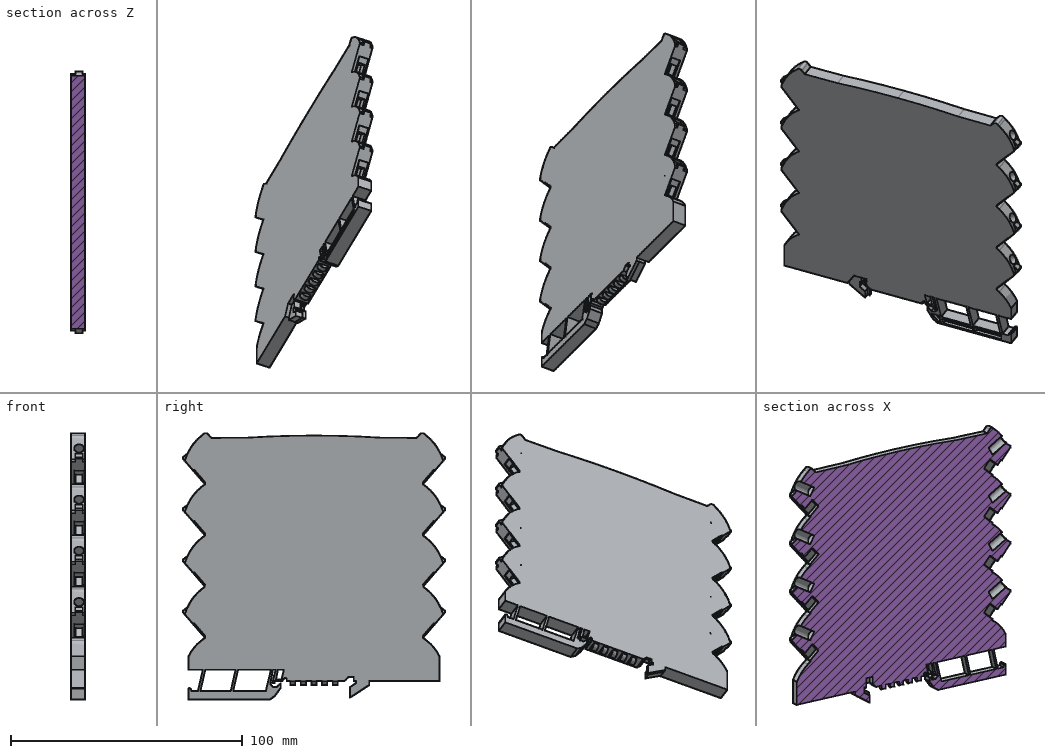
import cadquery as cq
import math

thickness = 6.1
half_thickness = thickness / 2
total_height = 115.0
total_width = 113.0

tooth_pitch = 22.1
tooth_count = 4
lowest_root_z = 26.7
root_y = 47.0
nose_y = 55.4
base_y = 54.2
base_shoulder_z = 18.6
base_flank_y = 51.9
base_flank_z = 22.3

ear_outer_y = 47.6
ear_outer_z = 114.7
ear_tip_y = 46.7
ear_inner_y = 45.8
ear_inner_z = 114.5
shoulder_y = 44.3
shoulder_z = 112.9
crown_z = 114.0
crown_y = 28.8
crown_edge_z = 113.0
bow_middle_z = 113.7

rail_face_z = 7.9
arm_face_z = 12.9

flank_start = (48.4, -1.0)
flank_middle = (52.8, -5.8)
nose_top = (nose_y, -11.3)
nose_bottom = (nose_y, -12.4)

tooth_roots = [lowest_root_z + tooth_pitch * (i + 1) for i in range(tooth_count)]


def in_tooth(point, root_z, side=1):
    return (side * point[0], root_z + point[1])


def prism(outline, x_start=-half_thickness, x_end=half_thickness):
    """Closed outline of (y, z) points extruded between two X planes."""
    return (
        cq.Workplane("YZ")
        .workplane(offset=x_start)
        .polyline(outline)
        .close()
        .extrude(x_end - x_start)
    )


def half_housing(side, bottom_z):
    """Half of the plate between the middle plane and one toothed edge."""
    edge = cq.Workplane("YZ").workplane(offset=-half_thickness)
    edge = edge.moveTo(0, bottom_z).lineTo(side * base_y, bottom_z)
    edge = edge.lineTo(side * base_y, base_shoulder_z)
    edge = edge.threePointArc(
        (side * base_flank_y, base_flank_z), in_tooth(flank_start, lowest_root_z, side)
    )
    edge = edge.lineTo(side * root_y, lowest_root_z)
    for root_z in tooth_roots:
        edge = edge.lineTo(*in_tooth(nose_bottom, root_z, side))
        edge = edge.lineTo(*in_tooth(nose_top, root_z, side))
        edge = edge.threePointArc(
            in_tooth(flank_middle, root_z, side), in_tooth(flank_start, root_z, side)
        )
        if root_z != tooth_roots[-1]:
            edge = edge.lineTo(side * root_y, root_z)
    edge = edge.lineTo(side * ear_outer_y, ear_outer_z)
    edge = edge.threePointArc((side * ear_tip_y, total_height), (side * ear_inner_y, ear_inner_z))
    edge = edge.lineTo(side * shoulder_y, shoulder_z)
    edge = edge.lineTo(side * crown_y, crown_edge_z)
    edge = edge.threePointArc((side * crown_y / 2, bow_middle_z), (0, crown_z))
    return edge.close().extrude(thickness)


cutter_overrun = 1.7
screw_x = 0.5
screw_radius = 2.1
screw_tilt = 30
screw_depth = 8.0
screw_mouth = (53.2, -6.7)

lip_x = (-1.2, 2.0)
lip_tip_y = total_width / 2
underside_slope = (nose_bottom[1] + tooth_pitch) / (nose_y - root_y)
lip_bottom_tip = (lip_tip_y, nose_bottom[1] + (lip_tip_y - nose_y) * underside_slope)
lip_outline = [(54.0, -8.5), (lip_tip_y, -10.4), lip_bottom_tip, nose_bottom, (52.9, -11.5)]

entry_x = (-1.6, 2.6)
entry_depth = 0.6
entry_span = (-16.2, -21.7)
clamp_x = (-1.0, 1.8)
clamp_depth = 5.8
clamp_span = (-18.3, entry_span[1])


def underside_point(height, depth=0.0):
    """Point at a height on the tooth underside, sunk squarely into the tooth."""
    angle = math.atan(underside_slope)
    y = root_y + (height + tooth_pitch) / underside_slope
    return (y - depth * math.sin(angle), height + depth * math.cos(angle))


def underside_pocket(x_range, span, depth, root_z, side):
    corners = [
        underside_point(span[0], -cutter_overrun),
        underside_point(span[1], -cutter_overrun),
        underside_point(span[1], depth),
        underside_point(span[0], depth),
    ]
    return prism([in_tooth(p, root_z, side) for p in corners], *x_range)


def screw_hole(root_z, side):
    y, z = in_tooth(screw_mouth, root_z, side)
    tilt = math.radians(screw_tilt)
    outward = cq.Vector(0, side * math.cos(tilt), math.sin(tilt))
    start = cq.Vector(screw_x, y, z) + outward * cutter_overrun
    length = screw_depth + cutter_overrun
    return cq.Workplane(cq.Solid.makeCylinder(screw_radius, length, start, outward * -1))


def add_terminal(body, root_z, side):
    lip = prism([in_tooth(p, root_z, side) for p in lip_outline], *lip_x)
    body = body.union(lip).cut(screw_hole(root_z, side))
    body = body.cut(underside_pocket(entry_x, entry_span, entry_depth, root_z, side))
    return body.cut(underside_pocket(clamp_x, clamp_span, clamp_depth, root_z, side))


latch_front_x = -1.3
latch_rim_x = 1.6
latch_pocket_floor_x = 2.2
latch_pocket = [
    (23.9, rail_face_z), (20.7, arm_face_z), (14.8, arm_face_z), (14.8, 9.7), (13.1, rail_face_z),
]
latch_gap = [(17.1, 6.9), (17.1, 9.7), (14.8, 9.7), (13.1, rail_face_z), (13.1, 6.9)]
latch_core = [
    (23.9, 6.3), (23.9, rail_face_z), (20.7, arm_face_z), (18.0, arm_face_z), (18.0, 8.9),
    (19.0, 8.9), (19.0, 6.4), (16.3, 4.7), (16.3, 1.4),
]
latch_rim = [
    (23.9, 6.3), (23.9, rail_face_z), (20.7, arm_face_z), (17.1, arm_face_z), (17.1, rail_face_z),
    (18.0, rail_face_z), (18.0, 7.1), (15.5, 5.4), (15.5, 0.8),
]


def add_latch(body):
    body = body.cut(prism(latch_gap))
    body = body.cut(prism(latch_pocket, -half_thickness, latch_pocket_floor_x))
    body = body.union(prism(latch_core, latch_front_x))
    return body.union(prism(latch_rim, latch_rim_x))


contact_pitch = 4.6
contact_first_y = 9.2
contact_width = 2.3
contact_count = 5
contact_radius = 2.2
contact_axis_z = 8.4


def add_contacts(body):
    """Round contacts that bulge out of the underside, with their axes along Y."""
    for i in range(contact_count):
        middle_y = contact_first_y - i * contact_pitch
        contact = (
            cq.Workplane("XZ")
            .center(0, contact_axis_z)
            .circle(contact_radius)
            .extrude(contact_width / 2, both=True)
        )
        body = body.union(contact.translate((0, middle_y, 0)))
    return body


arm_top_z = 3.8
arm_recess_depth = 1.7

rail_block = [
    (0, rail_face_z), (-11.8, rail_face_z), (-11.8, 9.0), (-12.5, 9.5), (-13.7, 7.9), (-17.0, 7.9),
    (-17.0, 7.0), (-18.0, 7.0), (-16.6, 13.0), (-15.5, 13.0), (-16.3, 8.7), (-14.0, 8.9),
    (-13.0, arm_face_z), (0, arm_face_z),
]
arm_outline = [
    (-18.9, 6.7), (-17.6, 5.5), (-16.1, 5.5), (-14.3, 7.1), (-14.3, 5.2), (-16.9, 1.5), (-19.1, 0),
    (-base_y, 0), (-base_y, 4.7), (-53.7, 5.1), (-53.1, 4.7), (-52.8, arm_top_z),
    (-20.8, arm_top_z), (-18.5, 13.2), (-17.6, 13.2),
]
strut_tops = (-32.7, -46.8)
strut_width = 1.2
strut_lean = 2.2
strut_overlap = 0.2
recess_floor_z = 0.8
recess_ceiling_z = 3.0
arm_recesses = [
    [(-16.2, 4.1), (-19.9, 4.1), (-20.6, 0.8), (-19.7, 0.8)],
    [(-21.3, recess_ceiling_z), (-35.5, recess_ceiling_z), (-36.0, recess_floor_z), (-21.8, recess_floor_z)],
    [(-36.2, recess_ceiling_z), (-49.3, recess_ceiling_z), (-49.3, recess_floor_z), (-36.9, recess_floor_z)],
]


def strut(top_y):
    foot_y = top_y - strut_lean
    top_z = arm_face_z + strut_overlap
    foot_z = arm_top_z - strut_overlap
    return prism([
        (top_y, top_z),
        (foot_y, foot_z),
        (foot_y - strut_width, foot_z),
        (top_y - strut_width, top_z),
    ])


def add_foot_arm(body):
    arm = prism(arm_outline)
    for top_y in strut_tops:
        arm = arm.union(strut(top_y))
    for recess in arm_recesses:
        arm = arm.cut(prism(recess, -half_thickness, arm_recess_depth - half_thickness))
    return body.union(arm)


housing = half_housing(1, rail_face_z).union(half_housing(-1, arm_face_z)).union(prism(rail_block))
for tooth_root in tooth_roots:
    for tooth_side in (1, -1):
        housing = add_terminal(housing, tooth_root, tooth_side)
result = add_foot_arm(add_contacts(add_latch(housing)))